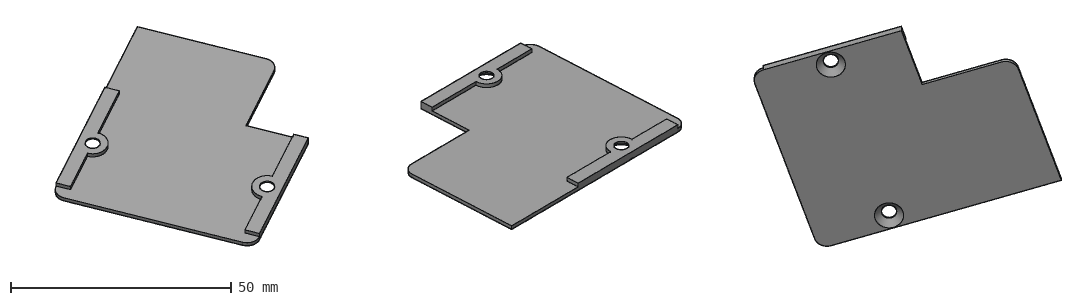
import cadquery as cq

plate_width = 49.0
plate_length = 58.0
plate_thickness = 1.0
corner_radius = 3.0

tab_width = 34.0
notch_start_y = 36.0

rail_width = 3.5
rail_height = 1.0
rail_start_y = 3.0
rail_length = notch_start_y - rail_start_y
boss_radius = 3.5
hole_diameter = 3.4
hole_y = 18.0
countersink_diameter = 6.6
countersink_depth = (countersink_diameter - hole_diameter) / 2

total_height = plate_thickness + rail_height


def make_plate():
    """L-shaped plate; the two lower corners and the tab's outer corner are rounded."""
    outline = [
        (0, 0),
        (plate_width, 0),
        (plate_width, notch_start_y),
        (tab_width, notch_start_y),
        (tab_width, plate_length),
        (0, plate_length),
    ]
    plate = cq.Workplane("XY").polyline(outline).close().extrude(plate_thickness)
    rounded_corners = [(0, 0), (plate_width, 0), (tab_width, plate_length)]
    for x, y in rounded_corners:
        corner_edge = cq.selectors.NearestToPointSelector((x, y, plate_thickness / 2))
        plate = plate.edges("|Z").edges(corner_edge).fillet(corner_radius)
    return plate


def make_rail(outer_x, inner_x):
    """Raised rail between two X positions, with a boss centred on its inner edge."""
    rail = (
        cq.Workplane("XY", origin=(min(outer_x, inner_x), rail_start_y, plate_thickness))
        .rect(rail_width, rail_length, centered=False)
        .extrude(rail_height)
    )
    boss = (
        cq.Workplane("XY", origin=(inner_x, hole_y, plate_thickness))
        .circle(boss_radius)
        .extrude(rail_height)
    )
    return rail.union(boss)


def make_hole(x):
    """Cutter for a screw hole with a countersink opening on the underside."""
    shank = cq.Workplane("XY", origin=(x, hole_y, 0)).circle(hole_diameter / 2).extrude(total_height)
    countersink = (
        cq.Workplane("XY", origin=(x, hole_y, 0))
        .circle(countersink_diameter / 2)
        .workplane(offset=countersink_depth)
        .circle(hole_diameter / 2)
        .loft()
    )
    return shank.union(countersink)


rail_edges = [(0, rail_width), (plate_width, plate_width - rail_width)]

result = make_plate()
for outer_x, inner_x in rail_edges:
    result = result.union(make_rail(outer_x, inner_x)).cut(make_hole(inner_x))